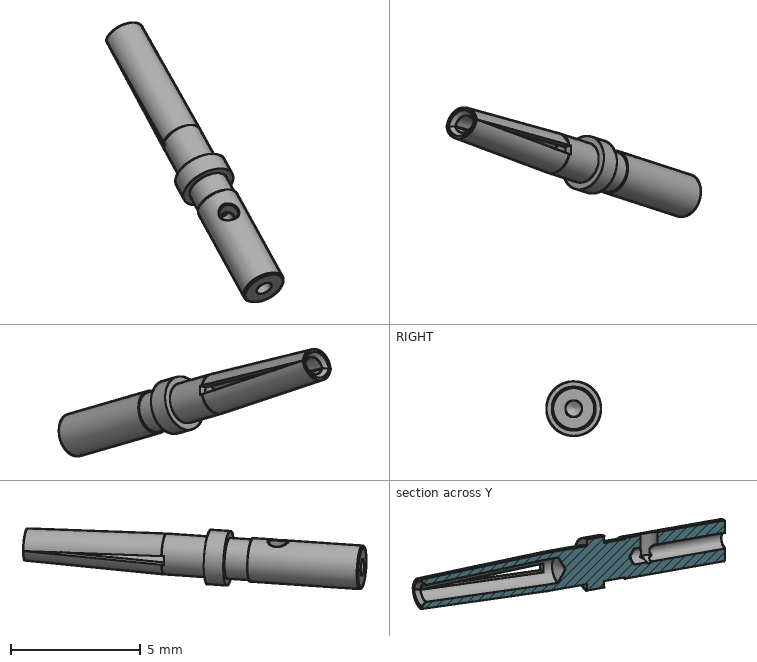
import cadquery as cq
import math

total_length = 13.28
slot_end = 5.59
hinge_x = 5.48
collar_start = 7.22
collar_end = 8.0
barrel_start = 8.9

body_diameter = 1.6
collar_diameter = 2.12
barrel_diameter = 1.7
barrel_chamfer = 0.05

slot_width = 0.36
socket_diameter = 1.02
socket_depth = 5.98
lead_in_diameter = 1.38
lead_in_depth = (lead_in_diameter - socket_diameter) / 2

wire_bore_diameter = 0.64
wire_bore_start = 9.3
inspection_diameter = 0.73
inspection_chamfer = 0.04
inspection_x = 9.95
inspection_bite = 0.07
drill_point_angle = 118.0

body_radius = body_diameter / 2
tine_angle = math.degrees(math.atan(slot_width / 2 / hinge_x))
tine_length = math.hypot(hinge_x, slot_width / 2)
tip_x = hinge_x - tine_length


def cylinder(start, end, diameter):
    """Solid cylinder along X between two stations."""
    return cq.Workplane("YZ", origin=(start, 0, 0)).circle(diameter / 2).extrude(end - start)


def drill_point_length(diameter):
    """Length of the cone left by the drill tip."""
    return diameter / 2 / math.tan(math.radians(drill_point_angle / 2))


def socket_cutter():
    """Conical lead-in, straight socket and drill point, revolved about X."""
    radius = socket_diameter / 2
    return (
        cq.Workplane("XY")
        .polyline([
            (tip_x, 0),
            (tip_x, lead_in_diameter / 2),
            (tip_x + lead_in_depth, radius),
            (socket_depth, radius),
            (socket_depth + drill_point_length(socket_diameter), 0),
        ])
        .close()
        .revolve(360, (0, 0, 0), (1, 0, 0))
    )


def wire_bore_cutter():
    """Bore from the rear end, finishing in a drill point."""
    radius = wire_bore_diameter / 2
    return (
        cq.Workplane("XY")
        .polyline([
            (total_length, 0),
            (total_length, radius),
            (wire_bore_start, radius),
            (wire_bore_start - drill_point_length(wire_bore_diameter), 0),
        ])
        .close()
        .revolve(360, (0, 0, 0), (1, 0, 0))
    )


def inspection_hole_cutter():
    """Hole drilled down through the wire bore, its drill point biting into the bore floor."""
    radius = inspection_diameter / 2
    point_z = -wire_bore_diameter / 2 - inspection_bite
    return (
        cq.Workplane("XZ")
        .polyline([
            (0, point_z),
            (radius, point_z + drill_point_length(inspection_diameter)),
            (radius, barrel_diameter),
            (0, barrel_diameter),
        ])
        .close()
        .revolve(360, (0, 0, 0), (0, 1, 0))
        .translate((inspection_x, 0, 0))
    )


def tine(side):
    """Half tube above (+1) or below (-1) the slot, bent inward about its outer root edge."""
    half_space = (
        cq.Workplane("XY")
        .box(tine_length, body_diameter, body_radius, centered=(False, True, False))
        .translate((tip_x, 0, slot_width / 2))
    )
    straight = cylinder(tip_x, hinge_x, body_diameter)
    straight = straight.cut(socket_cutter()).intersect(half_space)
    if side < 0:
        straight = straight.mirror("XY")
    root = (hinge_x, 0, side * body_radius)
    root_axis_end = (hinge_x, 1, side * body_radius)
    return straight.rotate(root, root_axis_end, -side * tine_angle)


def rear_body():
    """Unbent body with the collar, barrel, bores and inspection hole."""
    barrel = cylinder(barrel_start, total_length, barrel_diameter).faces(">X").chamfer(barrel_chamfer)
    barrel = barrel.cut(inspection_hole_cutter())
    hole_rim = cq.selectors.BoxSelector(
        (inspection_x - inspection_diameter, -inspection_diameter, 0),
        (inspection_x + inspection_diameter, inspection_diameter, barrel_diameter),
    )
    barrel = barrel.edges(hole_rim).chamfer(inspection_chamfer)
    body = (
        cylinder(hinge_x, barrel_start, body_diameter)
        .union(cylinder(collar_start, collar_end, collar_diameter))
        .union(barrel)
    )
    slot_root = cq.Workplane("XY").box(2 * (slot_end - hinge_x), body_diameter, slot_width)
    return (
        body.cut(socket_cutter())
        .cut(wire_bore_cutter())
        .cut(slot_root.translate((hinge_x, 0, 0)))
    )


result = rear_body().union(tine(1)).union(tine(-1))